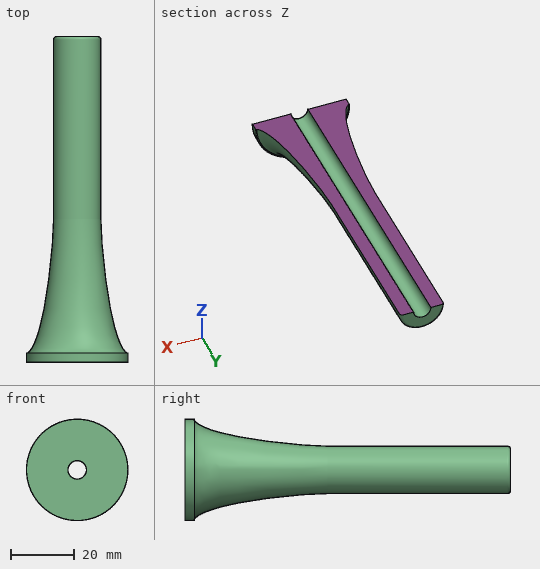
import cadquery as cq

total_length = 102.4
flange_diameter = 32.0
flange_thickness = 3.0
shaft_diameter = 15.0
shaft_length = 57.4
tip_round = 1.0
flare_end_diameter = 31.1
flare_base_control_radius = 10.2
flare_base_control_height = 4.1
flare_shaft_control_height = 33.8
bore_diameter = 5.7

flange_radius = flange_diameter / 2
shaft_radius = shaft_diameter / 2
flare_end_radius = flare_end_diameter / 2

front_y = -total_length / 2
flange_back_y = front_y + flange_thickness
tip_y = total_length / 2
flare_top_y = tip_y - shaft_length

flare_base_control = (flare_base_control_radius, flange_back_y + flare_base_control_height)
flare_shaft_control = (shaft_radius, flange_back_y + flare_shaft_control_height)
flare_top = (shaft_radius, flare_top_y)


def make_body():
    """Flange, flared neck and straight shaft as one revolved profile."""
    profile = (
        cq.Workplane("XY")
        .moveTo(0, front_y)
        .lineTo(flange_radius, front_y)
        .lineTo(flange_radius, flange_back_y)
        .lineTo(flare_end_radius, flange_back_y)
        .bezier([flare_base_control, flare_shaft_control, flare_top], includeCurrent=True)
        .lineTo(shaft_radius, tip_y - tip_round)
        .radiusArc((shaft_radius - tip_round, tip_y), -tip_round)
        .lineTo(0, tip_y)
        .close()
    )
    return profile.revolve(360, (0, 0, 0), (0, 1, 0))


def make_bore():
    """Through hole along the axis."""
    return (
        cq.Workplane("XZ", origin=(0, tip_y, 0))
        .circle(bore_diameter / 2)
        .extrude(total_length)
    )


result = make_body().cut(make_bore())